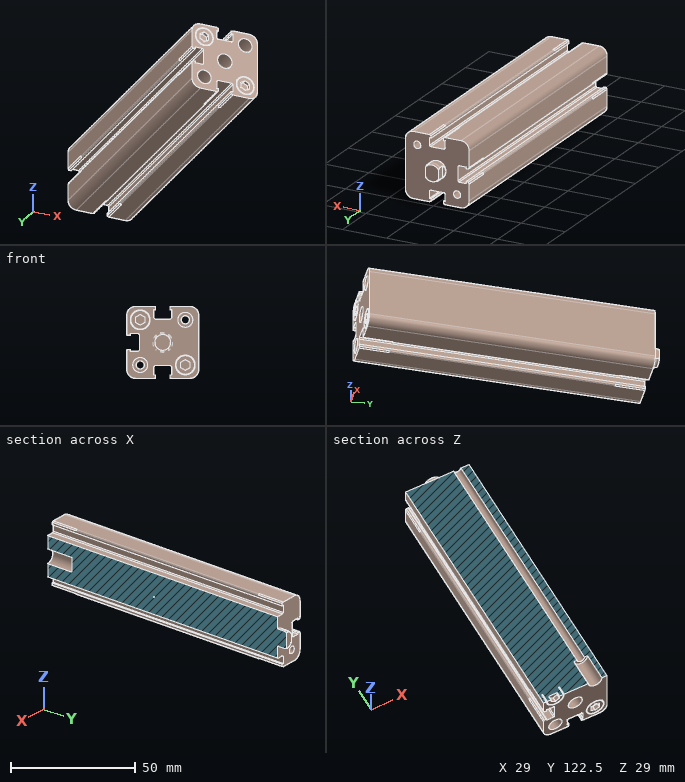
import cadquery as cq

side = 29.0
total_length = 122.5
rod_projection = 4.5
housing_length = total_length - rod_projection
cap_length = 12.2
corner_radius = 3.7

slot_depth = 5.1
slot_width = 7.1
slot_floor_chamfer = 0.5
slot_opening = 5.6
lip_thickness = 1.5
cap_lip_chamfer_width = 0.7
cap_lip_chamfer_depth = 0.4
tube_lip_radius = 0.4

bolt_offset = 9.1
counterbore_diameter = 8.0
head_diameter = 7.5
head_height = 4.0
socket_across_corners = 4.3
socket_depth = 2.0
through_diameter = 3.2
thread_diameter = 6.0
thread_depth = cap_length
port_diameter = 6.4
port_depth = cap_length

rod_diameter = 8.0
rod_chamfer_length = 1.2
rod_chamfer_depth = 0.4
across_flats = 6.0
flat_length = 3.4
flat_depth = (rod_diameter - across_flats) / 2


def front_face():
    """Workplane at Y = 0 with local x along +X and local y along +Z."""
    return cq.Workplane(cq.Plane(origin=(0, 0, 0), xDir=(1, 0, 0), normal=(0, -1, 0)))


def extrude_back(outline, length):
    """Extrude an outline on the front face toward +Y."""
    return outline.extrude(-length)


def chamfered_mouth():
    """Start of the half slot outline in an end cap: a sloped edge on the lip."""
    half_open = slot_opening / 2
    return (
        front_face()
        .moveTo(half_open + cap_lip_chamfer_width, side / 2)
        .lineTo(half_open, side / 2 - cap_lip_chamfer_depth)
    )


def rounded_mouth():
    """Start of the half slot outline in the tube: a rounded edge on the lip."""
    half_open = slot_opening / 2
    return (
        front_face()
        .moveTo(half_open + tube_lip_radius, side / 2)
        .radiusArc((half_open, side / 2 - tube_lip_radius), -tube_lip_radius)
    )


def slot_cutter(mouth, length):
    """T-slot open toward +Z, starting at Y = 0, completed from its mouth down to the chamfered floor."""
    half_wide = slot_width / 2
    top = side / 2
    floor = top - slot_depth
    lip_underside = top - lip_thickness
    outline = (
        mouth
        .lineTo(slot_opening / 2, lip_underside)
        .lineTo(half_wide, lip_underside)
        .lineTo(half_wide, floor + slot_floor_chamfer)
        .lineTo(half_wide - slot_floor_chamfer, floor)
        .lineTo(0, floor)
        .lineTo(0, top)
        .close()
    )
    half = extrude_back(outline, length)
    return half.union(half.mirror("YZ"))


def housing_section(y_start, length, mouth):
    """One length of the square profile with slots in its +Z, -X and -Z faces."""
    block = extrude_back(front_face().rect(side, side), length)
    block = block.edges("|Y").fillet(corner_radius)
    cutter = slot_cutter(mouth, length)
    for angle in (0, -90, 180):
        block = block.cut(cutter.rotate((0, 0, 0), (0, 1, 0), angle))
    return block.translate((0, y_start, 0))


def front_cylinder(points, diameter, depth):
    """Cylinders reaching back from the front face at the given (x, z) points."""
    return extrude_back(front_face().pushPoints(points).circle(diameter / 2), depth)


def bolt_clearances(points):
    """Ring gaps around the bolt heads and the hexagon sockets in them."""
    rings = front_cylinder(points, counterbore_diameter, head_height)
    rings = rings.cut(front_cylinder(points, head_diameter, head_height))
    for x, z in points:
        hexagon = front_face().polygon(6, socket_across_corners)
        socket = extrude_back(hexagon, socket_depth)
        socket = socket.rotate((0, 0, 0), (0, 1, 0), 90)
        rings = rings.union(socket.translate((x, 0, z)))
    return rings


def rod_end():
    """Stub of the piston rod behind the housing, chamfered, with flats on its +X and -X sides."""
    radius = rod_diameter / 2
    rod = (
        cq.Workplane("XY")
        .moveTo(0, housing_length)
        .lineTo(radius, housing_length)
        .lineTo(radius, total_length - rod_chamfer_length)
        .lineTo(radius - rod_chamfer_depth, total_length)
        .lineTo(0, total_length)
        .close()
        .revolve(360, (0, 0, 0), (0, 1, 0))
    )
    half_flats = across_flats / 2
    flat_end = total_length - flat_length
    cut_outline = (
        cq.Workplane("XY")
        .moveTo(half_flats, total_length)
        .lineTo(half_flats, flat_end)
        .lineTo(rod_diameter / 2, flat_end - flat_depth)
        .lineTo(rod_diameter / 2, total_length)
        .close()
    )
    flat_cut = cut_outline.extrude(rod_diameter / 2, both=True)
    return rod.cut(flat_cut).cut(flat_cut.mirror("YZ"))


tube_length = housing_length - 2 * cap_length
result = housing_section(0, cap_length, chamfered_mouth())
result = result.union(housing_section(cap_length, tube_length, rounded_mouth()))
result = result.union(housing_section(cap_length + tube_length, cap_length, chamfered_mouth()))

bolts = [(-bolt_offset, bolt_offset), (bolt_offset, -bolt_offset)]
holes = [(bolt_offset, bolt_offset), (-bolt_offset, -bolt_offset)]
result = result.cut(bolt_clearances(bolts))
result = result.cut(front_cylinder(holes, through_diameter, housing_length))
result = result.cut(front_cylinder(holes, thread_diameter, thread_depth))
result = result.cut(front_cylinder([(0, 0)], port_diameter, port_depth))

result = result.union(rod_end())